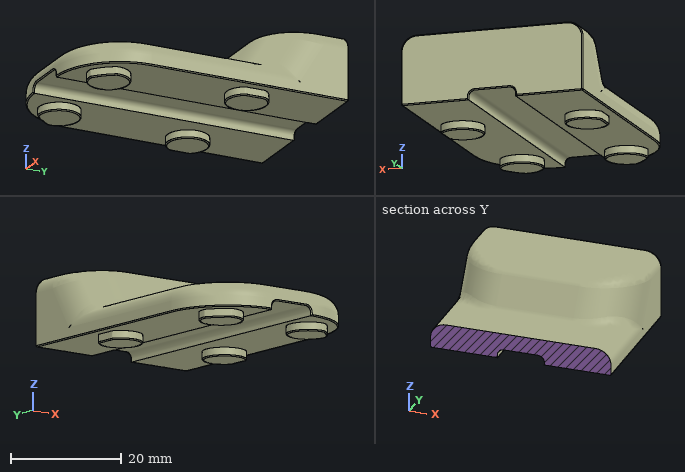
import cadquery as cq
import math

WIDTH = 35.0
LENGTH = 53.0
PLATE_HEIGHT = 5.05
BLOCK_HEIGHT = 13.0
PAD_HEIGHT = 1.6
EDGE_ROUND = 3.0
PLATE_CORNER_RADIUS = 13.0
BLEND_ROUND = EDGE_ROUND
RIM_CHAMFER = 0.2

BLOCK_TOP_LENGTH = 15.0
BLOCK_SLOPE = 59.0
BLOCK_CORNER_RADIUS = 10.0

CHANNEL_WIDTH = WIDTH - 2 * PLATE_CORNER_RADIUS
CHANNEL_DEPTH = 1.75
CHANNEL_ROUND = 1.2

PAD_RADIUS = 4.05
PAD_INSET = 2.0
PAD_CORNER_ROUND = 0.5
PAD_CHAMFER = 0.2
FRONT_PAD_X = 10.05
FRONT_PAD_Y = -45.05
REAR_PAD_X = 12.0
REAR_PAD_Y = -18.0


def plate_outline(inset, height):
    """Slab shaped like the plate outline, moved inwards by the inset."""
    return (
        cq.Workplane("XY")
        .rect(WIDTH - 2 * inset, LENGTH - 2 * inset)
        .extrude(height)
        .edges("|Z and <Y")
        .fillet(PLATE_CORNER_RADIUS - inset)
        .translate((0, -LENGTH / 2, 0))
    )


def make_plate():
    """Flat plate, rounded along its top edge except at the rear."""
    plate = plate_outline(0, PLATE_HEIGHT)
    return plate.edges(">Z").edges("not(>Y)").fillet(EDGE_ROUND)


def make_block():
    """Wedge with rounded sloping corners and a rounded top edge except at the rear."""
    base_length = BLOCK_TOP_LENGTH + BLOCK_HEIGHT / math.tan(math.radians(BLOCK_SLOPE))
    block = (
        cq.Workplane("YZ")
        .moveTo(0, 0)
        .lineTo(-base_length, 0)
        .lineTo(-BLOCK_TOP_LENGTH, BLOCK_HEIGHT)
        .lineTo(0, BLOCK_HEIGHT)
        .close()
        .extrude(WIDTH / 2, both=True)
    )
    block = block.faces("<Y").edges("not #Z").fillet(BLOCK_CORNER_RADIUS)
    return block.faces(">Z").edges("not(>Y)").fillet(EDGE_ROUND)


def blend_block(body):
    """Round the inner edge where the block rises from the top and rounded sides of the plate."""
    wall_height = PLATE_HEIGHT - EDGE_ROUND
    tolerance = 0.05
    junction = cq.selectors.BoxSelector(
        (-WIDTH, -LENGTH / 2, wall_height - tolerance),
        (WIDTH, -tolerance, PLATE_HEIGHT + tolerance),
        boundingbox=True,
    )
    return body.edges(junction).fillet(BLEND_ROUND)


def channel_profile(margin):
    """Channel section, grown by the margin on its sides and roof.

    It is mirrored below the underside so that only the roof corners are rounded in the plate.
    """
    roof = CHANNEL_DEPTH + margin
    return (
        cq.Sketch()
        .rect(CHANNEL_WIDTH + 2 * margin, 2 * roof)
        .vertices()
        .fillet(CHANNEL_ROUND + margin)
    )


def make_channel():
    """Straight channel along the plate with a chamfered mouth at each end."""
    front = cq.Workplane("XZ", origin=(0, -LENGTH, 0))
    rear = cq.Workplane("XZ")
    mouth = channel_profile(RIM_CHAMFER)
    channel = rear.placeSketch(channel_profile(0)).extrude(LENGTH)
    rear_mouth = rear.placeSketch(mouth).extrude(RIM_CHAMFER, taper=45)
    front_mouth = front.placeSketch(mouth).extrude(-RIM_CHAMFER, taper=45)
    return channel.union(rear_mouth).union(front_mouth)


def make_pad(x, y):
    """Foot hanging below the plate, with a chamfer around its bottom face."""
    disc = cq.Workplane("XY").center(x, y).circle(PAD_RADIUS).extrude(PAD_HEIGHT)
    pad = disc.intersect(plate_outline(PAD_INSET, PAD_HEIGHT))
    pad = pad.edges("|Z").fillet(PAD_CORNER_ROUND)
    return pad.faces("<Z").chamfer(PAD_CHAMFER).translate((0, 0, -PAD_HEIGHT))


body = blend_block(make_plate().union(make_block()))
body = body.faces(">Y or <Z").edges().chamfer(RIM_CHAMFER)
body = body.cut(make_channel())
for side in (-1, 1):
    body = body.union(make_pad(side * FRONT_PAD_X, FRONT_PAD_Y))
    body = body.union(make_pad(side * REAR_PAD_X, REAR_PAD_Y))

result = body